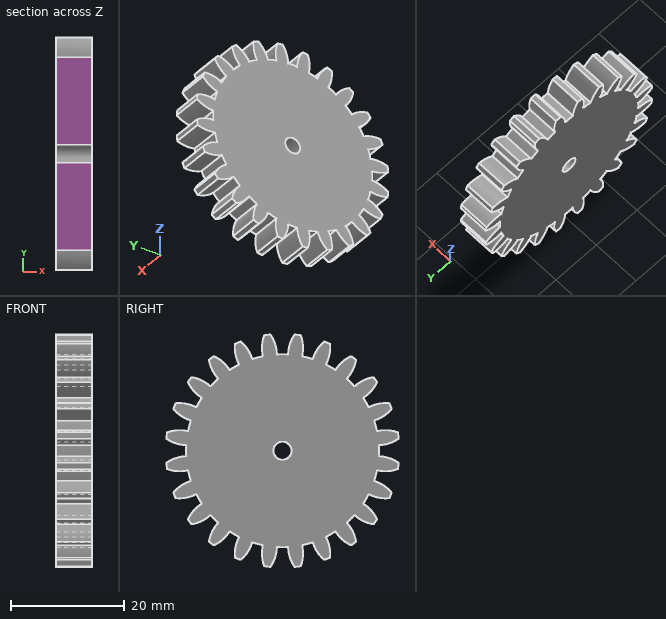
import cadquery as cq
import math

overall_size = 41.05
face_width = 6.35
bore_diameter = 3.15
tooth_count = 24
pitch_angle = 2 * math.pi / tooth_count

root_half_angle = math.radians(4.3)
middle_half_angle = math.radians(3.65)
tip_half_angle = math.radians(1.55)

tip_radius = overall_size / 2 / math.cos(pitch_angle / 2 - tip_half_angle)
root_radius = 17.05
middle_radius = (root_radius + tip_radius) / 2


def polar(radius, angle):
    """Point in the YZ plane, with the angle measured from Y towards Z."""
    return radius * math.cos(angle), radius * math.sin(angle)


def add_tooth(outline, centre_angle):
    """Continue the outline over one tooth and along the gap after it."""
    outline = outline.threePointArc(
        polar(middle_radius, centre_angle - middle_half_angle),
        polar(tip_radius, centre_angle - tip_half_angle),
    )
    outline = outline.threePointArc(
        polar(tip_radius, centre_angle),
        polar(tip_radius, centre_angle + tip_half_angle),
    )
    outline = outline.threePointArc(
        polar(middle_radius, centre_angle + middle_half_angle),
        polar(root_radius, centre_angle + root_half_angle),
    )
    return outline.threePointArc(
        polar(root_radius, centre_angle + pitch_angle / 2),
        polar(root_radius, centre_angle + pitch_angle - root_half_angle),
    )


def make_gear():
    first_tooth_angle = pitch_angle / 2
    start = polar(root_radius, first_tooth_angle - root_half_angle)
    outline = cq.Workplane("YZ", origin=(-face_width / 2, 0, 0)).moveTo(*start)
    for tooth in range(tooth_count):
        outline = add_tooth(outline, first_tooth_angle + tooth * pitch_angle)
    return outline.close().extrude(face_width)


result = make_gear().faces(">X").workplane(origin=(0, 0, 0)).hole(bore_diameter)